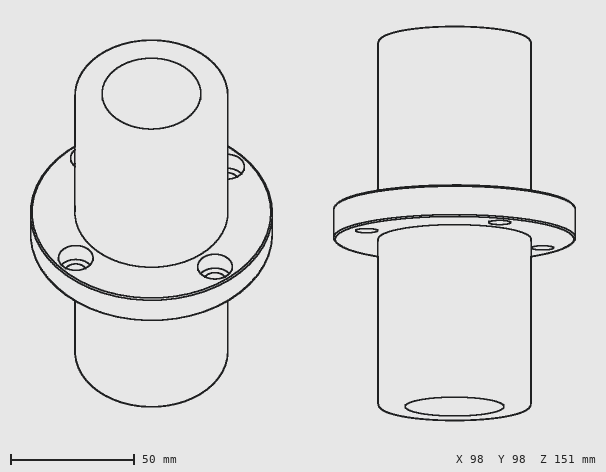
import cadquery as cq

sleeve_diameter = 62.0
sleeve_length = 151.0
bore_diameter = 40.0
sleeve_fillet = 1.3

flange_diameter = 98.0
flange_thickness = 13.0
flange_chamfer = 0.65

hole_count = 4
hole_circle_diameter = 80.0
hole_diameter = 9.0
counterbore_diameter = 14.0
counterbore_depth = 8.1


def centred_cylinder(diameter, height):
    """Cylinder on the Z axis, centred on the origin."""
    return cq.Workplane("XY").cylinder(height, diameter / 2)


def make_sleeve():
    """Long cylinder with both outer rims rounded."""
    return centred_cylinder(sleeve_diameter, sleeve_length).edges("%CIRCLE").fillet(sleeve_fillet)


def make_flange():
    """Chamfered disc with evenly spaced holes, counterbored from the upper face."""
    disc = centred_cylinder(flange_diameter, flange_thickness)
    return (
        disc.edges("%CIRCLE")
        .chamfer(flange_chamfer)
        .faces(">Z")
        .workplane()
        .polarArray(hole_circle_diameter / 2, 0, 360, hole_count)
        .cboreHole(hole_diameter, counterbore_diameter, counterbore_depth)
    )


bore = centred_cylinder(bore_diameter, sleeve_length)
result = make_sleeve().union(make_flange()).cut(bore)